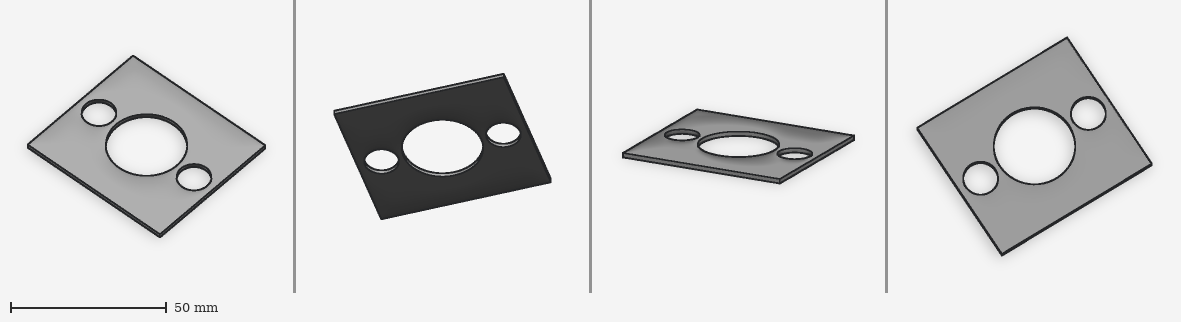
import cadquery as cq

plate_length = 57.15
plate_width = 50.8
plate_thickness = 1.55

center_hole_diameter = 26.2
side_hole_diameter = 11.2
side_hole_offset = 20.5

plate = cq.Workplane("XY").box(plate_length, plate_width, plate_thickness)

plate = plate.faces(">Z").workplane().hole(center_hole_diameter)

side_hole_centers = [(-side_hole_offset, 0), (side_hole_offset, 0)]
result = plate.faces(">Z").workplane().pushPoints(side_hole_centers).hole(side_hole_diameter)